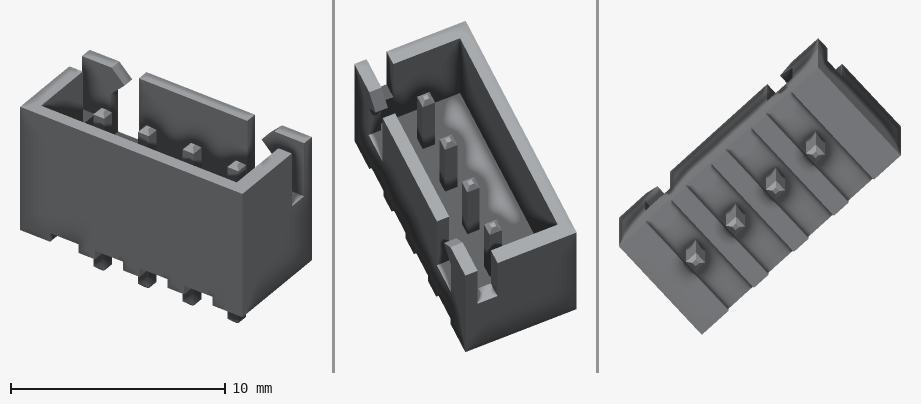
import cadquery as cq


LENGTH = 12.62
DEPTH = 5.7
HEIGHT = 6.99
TOTAL_HEIGHT = 10.0
LONG_WALL = 0.63
END_WALL = 0.76
FLOOR_TOP = 2.0

PANEL_LENGTH = 6.16
TAB_LENGTH = 1.69
HOOK_REACH = 0.73
HOOK_UNDERCUT = 0.8
TAB_SLOT_DEPTH = 4.0

END_SLOT_WIDTH = 1.02
END_SLOT_DEPTH = 3.0

PIN_COUNT = 4
PIN_PITCH = 2.54
PIN_WIDTH = 0.63
PIN_POINT = 0.2
PIN_Y = 3.15
PIN_TOP = 6.01
PIN_BOTTOM = HEIGHT - TOTAL_HEIGHT

CHANNEL_WIDTH = 1.6
CHANNEL_DEPTH = 0.49

PIN_PLACES = [(i - (PIN_COUNT - 1) / 2) * PIN_PITCH for i in range(PIN_COUNT)]


def block(x_range, y_range, z_range):
    """Box between the given limits along each axis."""
    (x0, x1), (y0, y1), (z0, z1) = x_range, y_range, z_range
    return cq.Workplane("XY").box(x1 - x0, y1 - y0, z1 - z0, centered=False).translate((x0, y0, z0))


def shell():
    """Open-topped box."""
    half = LENGTH / 2
    inner = half - END_WALL
    outside = block((-half, half), (0, DEPTH), (0, HEIGHT))
    cavity = block((-inner, inner), (LONG_WALL, DEPTH - LONG_WALL), (FLOOR_TOP, HEIGHT))
    return outside.cut(cavity)


def right_tab_slot():
    """Gap in the back wall beside the right tab, shaped to leave the hook."""
    panel_edge = PANEL_LENGTH / 2
    top_edge = LENGTH / 2 - TAB_LENGTH
    hook_tip = top_edge - HOOK_REACH
    stem_edge = hook_tip + HOOK_UNDERCUT
    bottom = HEIGHT - TAB_SLOT_DEPTH
    outline = [
        (panel_edge, HEIGHT),
        (top_edge, HEIGHT),
        (hook_tip, HEIGHT - HOOK_REACH),
        (stem_edge, HEIGHT - HOOK_REACH - HOOK_UNDERCUT),
        (stem_edge, bottom),
        (panel_edge, bottom),
    ]
    return (
        cq.Workplane("XZ", origin=(0, DEPTH, 0))
        .polyline(outline)
        .close()
        .extrude(LONG_WALL)
    )


def end_slots():
    """Slot across both end walls, just in front of the back wall."""
    back = DEPTH - LONG_WALL
    return block(
        (-LENGTH / 2, LENGTH / 2),
        (back - END_SLOT_WIDTH, back),
        (HEIGHT - END_SLOT_DEPTH, HEIGHT),
    )


def channel(x):
    """Channel from front to back under the pin at x."""
    return block((x - CHANNEL_WIDTH / 2, x + CHANNEL_WIDTH / 2), (0, DEPTH), (0, CHANNEL_DEPTH))


def pin(x):
    """Square pin with both ends tapered to a small flat."""
    half = PIN_WIDTH / 2
    bar = block((x - half, x + half), (PIN_Y - half, PIN_Y + half), (PIN_BOTTOM, PIN_TOP))
    return bar.faces("<Z or >Z").chamfer(PIN_POINT)


slot = right_tab_slot()
result = shell().cut(end_slots()).cut(slot).cut(slot.mirror("YZ"))
for place in PIN_PLACES:
    result = result.cut(channel(place)).union(pin(place))